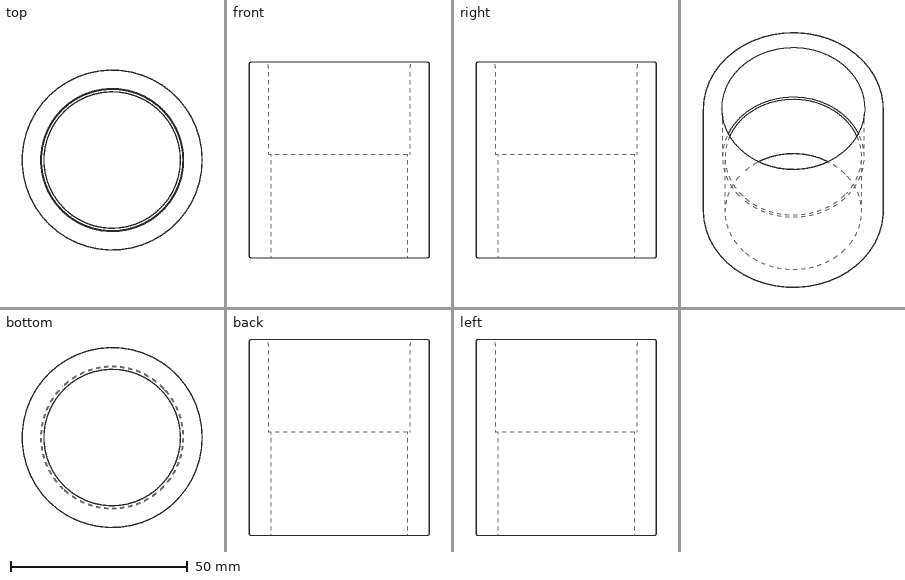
import cadquery as cq
import math

length = 55.5
outer_diameter = 51.0
rim_fillet = 0.55

mouth_diameter = 40.5
mouth_depth = 3.8
socket_diameter = 40.0
ledge_depth = 26.2
through_diameter = 38.6

mouth_radius = mouth_diameter / 2
socket_radius = socket_diameter / 2
through_radius = through_diameter / 2
ledge_height = length - ledge_depth
mouth_base_height = length - mouth_depth

flare = mouth_radius - socket_radius
flare_radius = (mouth_depth**2 + flare**2) / (2 * flare)
flare_half_angle = math.asin(mouth_depth / flare_radius) / 2
flare_middle = (
    socket_radius + flare_radius * (1 - math.cos(flare_half_angle)),
    mouth_base_height + flare_radius * math.sin(flare_half_angle),
)

body = cq.Workplane("XY").circle(outer_diameter / 2).extrude(length)
body = body.edges("%CIRCLE").fillet(rim_fillet)

bore = (
    cq.Workplane("XZ")
    .lineTo(through_radius, 0)
    .lineTo(through_radius, ledge_height)
    .lineTo(socket_radius, ledge_height)
    .lineTo(socket_radius, mouth_base_height)
    .threePointArc(flare_middle, (mouth_radius, length))
    .lineTo(0, length)
    .close()
    .revolve(360, (0, 0, 0), (0, 1, 0))
)

result = body.cut(bore)